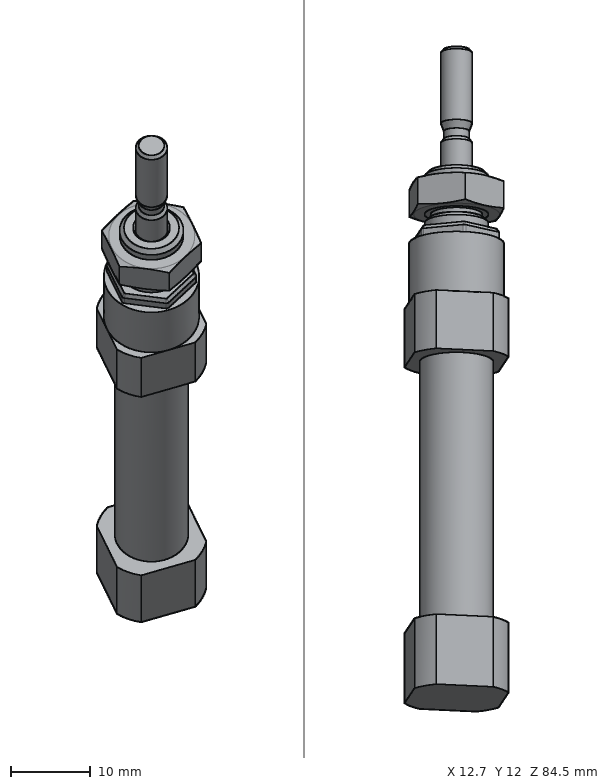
import cadquery as cq
import math

TOTAL_LENGTH = 84.5

HEAD_WIDTH = 12.0
HEAD_CORNER_DIA = 14.0
REAR_HEAD_TOP = 9.1
FRONT_HEAD_BOTTOM = 43.8
FRONT_HEAD_TOP = 51.4

TUBE_DIA = 9.3
SHOULDER_TOP = 59.15

FLANGE_ACROSS_FLATS = 10.0
FLANGE_TOP = 60.7
FLANGE_EDGE_RADIUS = 0.4
FLANGE_BEVEL_INSET = 0.3
FLANGE_BEVEL_HEIGHT = 0.5

NOSE_DIA = 8.0
NOSE_TOP = 68.5
NOSE_TIP_DIA = 6.9
RELIEF_DIA = 6.5
RELIEF_BOTTOM = 62.45

NUT_ACROSS_FLATS = 11.0
NUT_HEIGHT = 4.0
NUT_BOTTOM = 63.0
NUT_TOP = NUT_BOTTOM + NUT_HEIGHT
NUT_BEVEL_DIA = 10.8
NUT_BEVEL_ANGLE = 15.0

ROD_DIA = 4.0
ROD_TIP_DIA = 3.2
ROD_TIP_HEIGHT = 0.4
ROD_BORE_DIA = 4.1
ROD_BORE_CHAMFER = 0.25
ROD_SEAT = FRONT_HEAD_BOTTOM
ROD_GROOVE_DIA = 3.2
ROD_GROOVE_BOTTOM = 72.3
ROD_GROOVE_LOWER_CONE = 0.5
ROD_GROOVE_UPPER_CONE = 1.0
ROD_GROOVE_TOP = 74.9


def cylinder(diameter, bottom, top):
    return cq.Workplane("XY").workplane(offset=bottom).circle(diameter / 2).extrude(top - bottom)


def hexagon(across_flats, bottom, top):
    """Hexagonal prism with two corners on the X axis."""
    across_corners = across_flats / math.cos(math.pi / 6)
    return cq.Workplane("XY").workplane(offset=bottom).polygon(6, across_corners).extrude(top - bottom)


def revolved(profile):
    """Solid of revolution about Z from (radius, height) points."""
    return cq.Workplane("XZ").polyline(profile).close().revolve(360, (0, 0, 0), (0, 1, 0))


def make_head(bottom, top):
    height = top - bottom
    block = cq.Workplane("XY").workplane(offset=bottom).rect(HEAD_WIDTH, HEAD_WIDTH).extrude(height)
    return block.intersect(cylinder(HEAD_CORNER_DIA, bottom, top))


def make_flange():
    flange = hexagon(FLANGE_ACROSS_FLATS, SHOULDER_TOP, FLANGE_TOP)
    flange = flange.edges("|Z").fillet(FLANGE_EDGE_RADIUS)
    return flange.faces(">Z").chamfer(FLANGE_BEVEL_HEIGHT, FLANGE_BEVEL_INSET)


def make_nose():
    nose_radius = NOSE_DIA / 2
    tip_radius = NOSE_TIP_DIA / 2
    relief_radius = RELIEF_DIA / 2
    chamfer = nose_radius - tip_radius
    return revolved([
        (0, FLANGE_TOP),
        (nose_radius, FLANGE_TOP),
        (nose_radius, RELIEF_BOTTOM - chamfer),
        (tip_radius, RELIEF_BOTTOM),
        (relief_radius, RELIEF_BOTTOM),
        (relief_radius, NUT_BOTTOM),
        (nose_radius, NUT_BOTTOM),
        (nose_radius, NOSE_TOP - chamfer),
        (tip_radius, NOSE_TOP),
        (0, NOSE_TOP),
    ])


def make_rod_bore():
    """Tool for the blind rod bore with its chamfered mouth."""
    bore_radius = ROD_BORE_DIA / 2
    return revolved([
        (0, ROD_SEAT),
        (bore_radius, ROD_SEAT),
        (bore_radius, NOSE_TOP - ROD_BORE_CHAMFER),
        (bore_radius + ROD_BORE_CHAMFER, NOSE_TOP),
        (0, NOSE_TOP),
    ])


def make_housing():
    housing = (
        make_head(0, REAR_HEAD_TOP)
        .union(cylinder(TUBE_DIA, REAR_HEAD_TOP, FRONT_HEAD_BOTTOM))
        .union(make_head(FRONT_HEAD_BOTTOM, FRONT_HEAD_TOP))
        .union(cylinder(HEAD_WIDTH, FRONT_HEAD_TOP, SHOULDER_TOP))
        .union(make_flange())
        .union(make_nose())
    )
    return housing.cut(make_rod_bore())


def make_nut():
    bevel_radius = NUT_BEVEL_DIA / 2
    corner_radius = NUT_ACROSS_FLATS / 2 / math.cos(math.pi / 6)
    bevel_drop = (corner_radius - bevel_radius) * math.tan(math.radians(NUT_BEVEL_ANGLE))
    envelope = revolved([
        (0, NUT_BOTTOM),
        (bevel_radius, NUT_BOTTOM),
        (corner_radius, NUT_BOTTOM + bevel_drop),
        (corner_radius, NUT_TOP - bevel_drop),
        (bevel_radius, NUT_TOP),
        (0, NUT_TOP),
    ])
    nut = hexagon(NUT_ACROSS_FLATS, NUT_BOTTOM, NUT_TOP).intersect(envelope)
    return nut.cut(cylinder(NOSE_DIA, NUT_BOTTOM, NUT_TOP))


def make_rod():
    rod_radius = ROD_DIA / 2
    groove_radius = ROD_GROOVE_DIA / 2
    tip_radius = ROD_TIP_DIA / 2
    return revolved([
        (0, ROD_SEAT),
        (rod_radius, ROD_SEAT),
        (rod_radius, ROD_GROOVE_BOTTOM),
        (groove_radius, ROD_GROOVE_BOTTOM + ROD_GROOVE_LOWER_CONE),
        (groove_radius, ROD_GROOVE_TOP - ROD_GROOVE_UPPER_CONE),
        (rod_radius, ROD_GROOVE_TOP),
        (rod_radius, TOTAL_LENGTH - ROD_TIP_HEIGHT),
        (tip_radius, TOTAL_LENGTH),
        (0, TOTAL_LENGTH),
    ])


housing = make_housing()
nut = make_nut()
rod = make_rod()

result = cq.Compound.makeCompound([housing.val(), nut.val(), rod.val()])